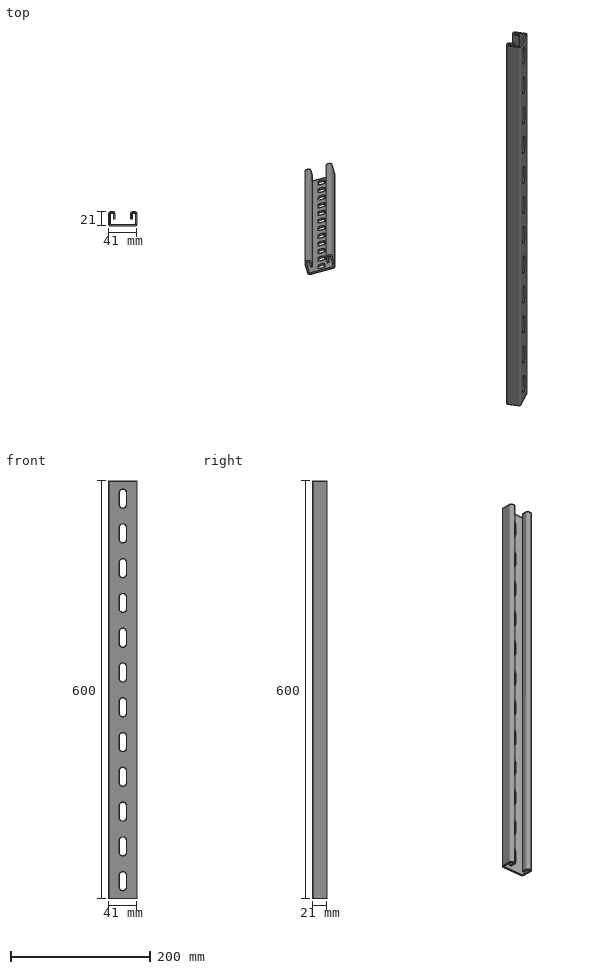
import cadquery as cq

length = 600.0
width = 41.0
depth = 21.0

thickness = 2.5
bend_radius = 3.5
lip_length = 11.0
mouth_width = 22.0

slot_count = 12
slot_length = 27.0
slot_width = 10.0
slot_pitch = length / slot_count

web_y = -depth / 2
bend_opening = mouth_width + 2 * bend_radius


def rounded_bar(bar_width, bar_depth, radius):
    """Full-length rectangular bar with its four long edges rounded."""
    return cq.Workplane("XY").rect(bar_width, bar_depth).extrude(length).edges("|Z").fillet(radius)


def web_and_flanges():
    """Rounded tube whose rim is opened between the two return bends."""
    outer = rounded_bar(width, depth, bend_radius)
    inner = rounded_bar(width - 2 * thickness, depth - 2 * thickness, bend_radius - thickness)
    mouth = (
        cq.Workplane("XY")
        .center(0, depth / 2)
        .rect(bend_opening, depth)
        .extrude(length)
    )
    return outer.cut(inner).cut(mouth)


def lip(side):
    """Return bend and inward lip; side is +1 for +X and -1 for -X."""
    rim_y = depth / 2
    tip_x = side * mouth_width / 2
    bend_start_x = tip_x + side * bend_radius
    back_x = tip_x + side * thickness
    tip_y = rim_y - lip_length
    bend_y = rim_y - bend_radius
    inner_rim_y = rim_y - thickness
    inner_radius = bend_radius - thickness
    diagonal = 0.5 ** 0.5
    return (
        cq.Workplane("XY")
        .moveTo(bend_start_x, rim_y)
        .threePointArc(
            (bend_start_x - side * bend_radius * diagonal, bend_y + bend_radius * diagonal),
            (tip_x, bend_y),
        )
        .lineTo(tip_x, tip_y)
        .lineTo(back_x, tip_y)
        .lineTo(back_x, bend_y)
        .threePointArc(
            (bend_start_x - side * inner_radius * diagonal, bend_y + inner_radius * diagonal),
            (bend_start_x, inner_rim_y),
        )
        .close()
        .extrude(length)
    )


def web_slots():
    """Row of evenly spaced slots through the web only."""
    first_z = slot_pitch / 2
    centers = [(0, first_z + i * slot_pitch) for i in range(slot_count)]
    return (
        cq.Workplane("XZ", origin=(0, web_y + thickness, 0))
        .pushPoints(centers)
        .slot2D(slot_length, slot_width, 90)
        .extrude(thickness)
    )


channel = web_and_flanges()
for side in (-1, 1):
    channel = channel.union(lip(side))

result = channel.cut(web_slots())